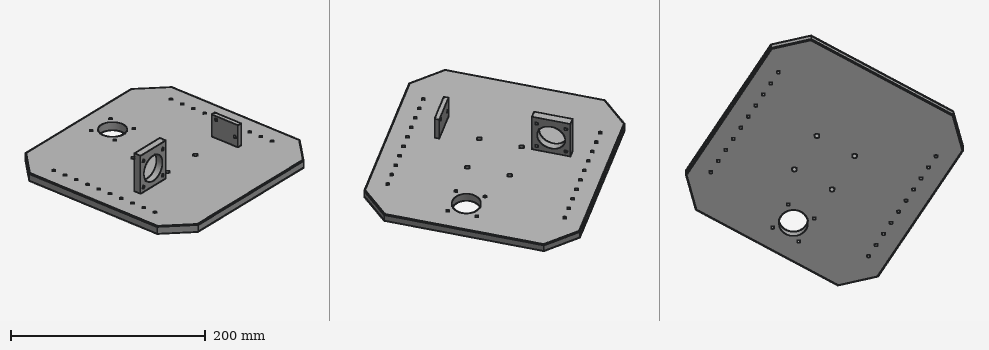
import cadquery as cq

side = 230.0
overall_height = 55.0
plate_thickness = 10.0
corner_cut = 30.0
edge_chamfer = 1.0

small_hole_diameter = 3.2
center_hole_diameter = 5.0
center_hole_spacing = 45.0
row_hole_count = 10
row_pitch = 15.0
row_center_x = -2.0
row_offset_y = 94.3

motor_bore_diameter = 30.0
motor_screw_spacing = 31.0
base_motor_x = -76.1
base_motor_y = 8.5

motor_bracket_thickness = 8.0
motor_bracket_width = 41.0
motor_bracket_height = overall_height - plate_thickness
motor_bracket_x = 25.8
motor_bracket_y = -54.3
motor_axis_height = 21.2

sensor_bracket_width = 35.0
sensor_bracket_thickness = 5.0
sensor_bracket_height = 26.2
sensor_bracket_x = 29.0
sensor_bracket_y = 64.6
sensor_screws = [(-11.7, 21.8), (13.3, 10.8)]


def make_base_plate():
    plate = cq.Workplane("XY").box(side, side, plate_thickness, centered=(True, True, False))
    plate = plate.edges("|Z").chamfer(corner_cut)
    return plate.faces("<Z or >Z").chamfer(edge_chamfer)


def upright(width_x, width_y, height, x, y):
    """A rectangular bracket on the base plate, its foot reaching down through the plate."""
    return (
        cq.Workplane("XY", origin=(x, y, 0))
        .box(width_x, width_y, plate_thickness + height, centered=(True, True, False))
    )


def motor_cutter(plane, depth):
    """Bore and four screw holes, centred on the given workplane."""
    bore = plane.circle(motor_bore_diameter / 2).extrude(depth, both=True)
    screws = (
        plane.rect(motor_screw_spacing, motor_screw_spacing, forConstruction=True)
        .vertices()
        .circle(small_hole_diameter / 2)
        .extrude(depth, both=True)
    )
    return bore.union(screws)


def make_base_holes():
    plane = cq.Workplane("XY")
    center_holes = (
        plane.rect(center_hole_spacing, center_hole_spacing, forConstruction=True)
        .vertices()
        .circle(center_hole_diameter / 2)
        .extrude(plate_thickness)
    )
    row_holes = (
        plane.center(row_center_x, 0)
        .rarray(row_pitch, 2 * row_offset_y, row_hole_count, 2)
        .circle(small_hole_diameter / 2)
        .extrude(plate_thickness)
    )
    motor_holes = motor_cutter(cq.Workplane("XY", origin=(base_motor_x, base_motor_y, 0)), plate_thickness)
    return center_holes.union(row_holes).union(motor_holes)


def make_motor_bracket():
    bracket = upright(
        motor_bracket_thickness, motor_bracket_width, motor_bracket_height, motor_bracket_x, motor_bracket_y
    )
    axis_z = plate_thickness + motor_axis_height
    face = cq.Workplane("YZ", origin=(motor_bracket_x, motor_bracket_y, axis_z))
    return bracket.cut(motor_cutter(face, motor_bracket_thickness))


def make_sensor_bracket():
    bracket = upright(
        sensor_bracket_width,
        sensor_bracket_thickness,
        sensor_bracket_height,
        sensor_bracket_x,
        sensor_bracket_y,
    )
    screws = (
        cq.Workplane("XZ", origin=(sensor_bracket_x, sensor_bracket_y, plate_thickness))
        .pushPoints(sensor_screws)
        .circle(small_hole_diameter / 2)
        .extrude(sensor_bracket_thickness, both=True)
    )
    return bracket.cut(screws)


base = make_base_plate().cut(make_base_holes())
result = base.union(make_motor_bracket()).union(make_sensor_bracket())